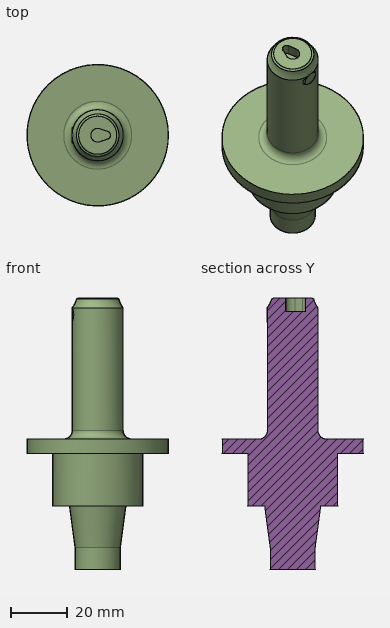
import cadquery as cq
import math

foot_height = 7.8
taper_height = 14.7
hub_height = 18.5
flange_height = 5.2
total_height = 96.0

foot_radius = 16.0 / 2
taper_top_radius = 10.0
hub_radius = 32.0 / 2
flange_radius = 50.0 / 2
shaft_radius = 18.0 / 2
shaft_fillet = 3.0

shoulder_height = 3.6
shoulder_top_radius = 7.5
shoulder_hollow = 0.2
tip_chamfer_width = 0.8
tip_chamfer_height = 0.4

pocket_big_radius = 2.4
pocket_small_radius = 1.4
pocket_spacing = 3.1
pocket_depth = 4.8

pin_face_radius = 2.6
pin_depth = 1.0
pin_drop = 6.0

taper_top = foot_height + taper_height
hub_top = taper_top + hub_height
flange_top = hub_top + flange_height
shoulder_bottom = total_height - shoulder_height
shoulder_top = total_height - tip_chamfer_height


def turned_body():
    """Revolve the half profile, with X as the radius, about the Z axis."""
    diagonal = shaft_fillet * (1 - math.sqrt(0.5))
    shoulder_middle = (
        (shaft_radius + shoulder_top_radius) / 2 - shoulder_hollow,
        (shoulder_bottom + shoulder_top) / 2,
    )
    return (
        cq.Workplane("XZ")
        .moveTo(0, 0)
        .lineTo(foot_radius, 0)
        .lineTo(foot_radius, foot_height)
        .lineTo(taper_top_radius, taper_top)
        .lineTo(hub_radius, taper_top)
        .lineTo(hub_radius, hub_top)
        .lineTo(flange_radius, hub_top)
        .lineTo(flange_radius, flange_top)
        .lineTo(shaft_radius + shaft_fillet, flange_top)
        .threePointArc(
            (shaft_radius + diagonal, flange_top + diagonal),
            (shaft_radius, flange_top + shaft_fillet),
        )
        .lineTo(shaft_radius, shoulder_bottom)
        .threePointArc(shoulder_middle, (shoulder_top_radius, shoulder_top))
        .lineTo(shoulder_top_radius - tip_chamfer_width, total_height)
        .lineTo(0, total_height)
        .close()
        .revolve(360, (0, 0, 0), (0, 1, 0))
    )


def teardrop_pocket():
    """Two round ends of different radius joined by their common tangents."""
    normal_x = (pocket_big_radius - pocket_small_radius) / pocket_spacing
    normal_y = math.sqrt(1 - normal_x**2)
    big_x = pocket_big_radius * normal_x
    big_y = pocket_big_radius * normal_y
    small_x = pocket_spacing + pocket_small_radius * normal_x
    small_y = pocket_small_radius * normal_y
    return (
        cq.Workplane("XY", origin=(0, 0, total_height))
        .moveTo(big_x, big_y)
        .threePointArc((-pocket_big_radius, 0), (big_x, -big_y))
        .lineTo(small_x, -small_y)
        .threePointArc((pocket_spacing + pocket_small_radius, 0), (small_x, small_y))
        .close()
        .extrude(-pocket_depth)
    )


def pin_end():
    """Cone whose small flat face touches the -X side of the shaft."""
    cone = cq.Solid.makeCone(
        pin_face_radius,
        pin_face_radius + pin_depth,
        pin_depth,
        pnt=cq.Vector(-shaft_radius, 0, total_height - pin_drop),
        dir=cq.Vector(1, 0, 0),
    )
    return cq.Workplane(cone)


result = turned_body().union(pin_end()).cut(teardrop_pocket())